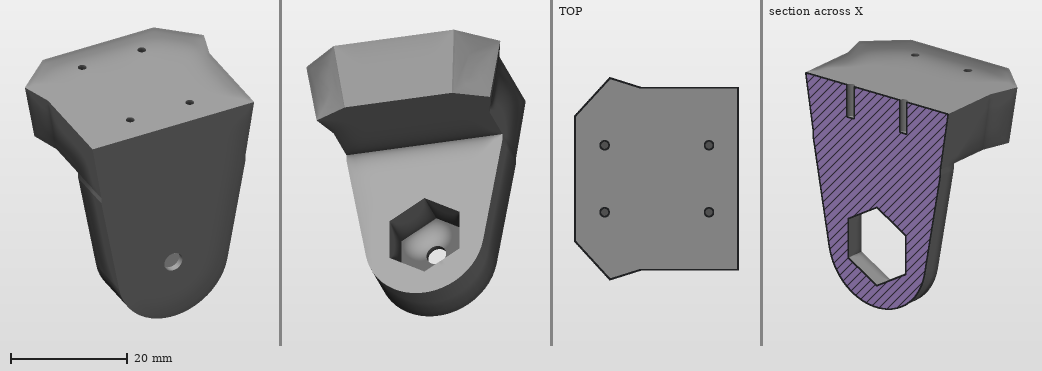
import cadquery as cq
import math

length = 28.15
height = 39.8
plate_height = 10.75

top_half_outline = [(0, 10.75), (0.25, 11.02), (6.05, 17.373), (11.42, 15.7), (length, 15.7)]
bottom_half_outline = [(2.85, 9.6), (3.0, 9.8), (6.05, 15.52), (11.3, 13.95), (length, 13.95)]

arm_thickness = 8.68
arm_half_width = 13.95
arm_straight_height = 1.07
arm_end_radius = 10.65
arm_front_x = length - arm_thickness
arm_end_z = arm_end_radius - height

bolt_z = -28.45
bolt_diameter = 3.5
nut_across_flats = 12.5
nut_depth = 7.52

screw_diameter = 1.5
screw_depth = 5.97
screw_columns_x = (5.15, 23.12)
screw_half_spacing_y = 5.77


def mirrored_wire(half_outline, z):
    """Closed horizontal outline made from one half and its mirror image."""
    near_side = [cq.Vector(x, -y, z) for x, y in half_outline]
    far_side = [cq.Vector(x, y, z) for x, y in reversed(half_outline)]
    return cq.Wire.makePolygon(near_side + far_side, close=True)


def make_plate():
    """Plate whose sides are ruled between the top and bottom outlines."""
    wires = [
        mirrored_wire(bottom_half_outline, -plate_height),
        mirrored_wire(top_half_outline, 0),
    ]
    return cq.Workplane(obj=cq.Solid.makeLoft(wires, ruled=True))


def make_arm():
    """Arm with a short straight neck and sides tangent to the round end."""
    shoulder_z = -plate_height - arm_straight_height
    shoulder_rise = shoulder_z - arm_end_z
    shoulder_distance = math.hypot(arm_half_width, shoulder_rise)
    side_angle = math.acos(arm_end_radius / shoulder_distance)
    tangent_angle = math.atan2(shoulder_rise, arm_half_width) - side_angle
    tangent_y = arm_end_radius * math.cos(tangent_angle)
    tangent_z = arm_end_z + arm_end_radius * math.sin(tangent_angle)
    return (
        cq.Workplane("YZ", origin=(arm_front_x, 0, 0))
        .moveTo(-arm_half_width, -plate_height)
        .lineTo(-arm_half_width, shoulder_z)
        .lineTo(-tangent_y, tangent_z)
        .threePointArc((0, -height), (tangent_y, tangent_z))
        .lineTo(arm_half_width, shoulder_z)
        .lineTo(arm_half_width, -plate_height)
        .close()
        .extrude(arm_thickness)
    )


def make_nut_pocket():
    """Hexagonal pocket with one corner up, open at the front of the arm."""
    across_corners = nut_across_flats / math.cos(math.pi / 6)
    return (
        cq.Workplane("YZ", origin=(arm_front_x, 0, bolt_z))
        .transformed(rotate=(0, 0, 90))
        .polygon(6, across_corners)
        .extrude(nut_depth)
    )


def make_bolt_hole():
    return (
        cq.Workplane("YZ", origin=(arm_front_x, 0, bolt_z))
        .circle(bolt_diameter / 2)
        .extrude(arm_thickness)
    )


def make_screw_holes():
    """Four blind vertical holes in the top of the plate."""
    centers = [(x, side * screw_half_spacing_y) for x in screw_columns_x for side in (-1, 1)]
    return (
        cq.Workplane("XY")
        .pushPoints(centers)
        .circle(screw_diameter / 2)
        .extrude(-screw_depth)
    )


body = make_plate().union(make_arm())
result = body.cut(make_nut_pocket()).cut(make_bolt_hole()).cut(make_screw_holes())